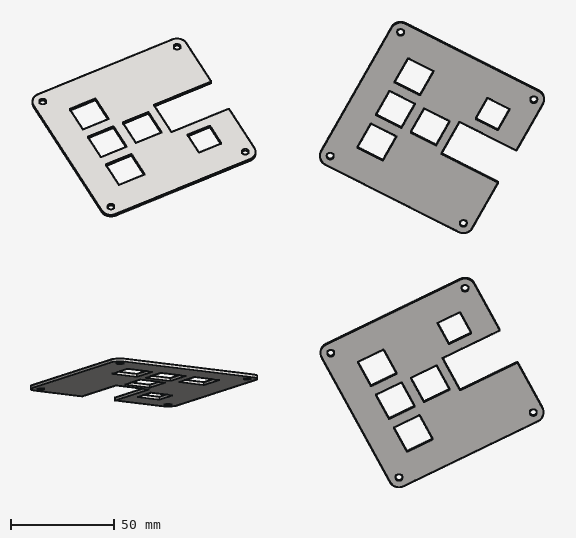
import cadquery as cq

plate_width = 82.0
plate_length = 83.0
plate_thickness = 1.5
corner_radius = 5.0

screw_hole_diameter = 3.4
screw_spacing_x = plate_width - 2 * corner_radius
screw_spacing_y = plate_length - 2 * corner_radius

key_size = 14.0
key_pitch = 19.0
key_row_y = -20.0
key_centers = [
    (-key_pitch, key_row_y),
    (0, key_row_y),
    (key_pitch, key_row_y),
    (0, key_row_y + key_pitch),
]

small_cutout_size = 12.2
small_cutout_center = (20.1, 22.5)

notch_width = 18.6
notch_depth = 31.2
notch_center_x = -0.3


def make_plate():
    """Flat plate with rounded vertical corners."""
    blank = cq.Workplane("XY").box(
        plate_width, plate_length, plate_thickness, centered=(True, True, False)
    )
    return blank.edges("|Z").fillet(corner_radius)


def cut_screw_holes(plate):
    """Through holes at the four corners."""
    corners = plate.faces(">Z").workplane(origin=(0, 0, 0)).rect(
        screw_spacing_x, screw_spacing_y, forConstruction=True
    )
    return corners.vertices().hole(screw_hole_diameter)


def cut_squares(plate, centers, size):
    """Square through cutouts at the given centres."""
    squares = cq.Workplane("XY").pushPoints(centers).rect(size, size)
    return plate.cut(squares.extrude(plate_thickness))


def cut_notch(plate):
    """Rectangular notch running in from the +Y edge."""
    notch_center_y = (plate_length - notch_depth) / 2
    notch = cq.Workplane("XY").center(notch_center_x, notch_center_y)
    return plate.cut(notch.rect(notch_width, notch_depth).extrude(plate_thickness))


result = make_plate()
result = cut_screw_holes(result)
result = cut_squares(result, key_centers, key_size)
result = cut_squares(result, [small_cutout_center], small_cutout_size)
result = cut_notch(result)